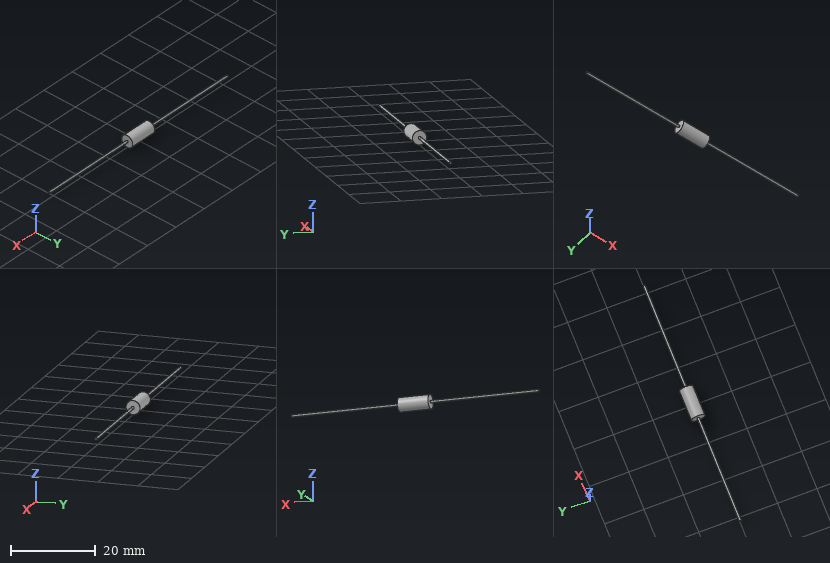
import cadquery as cq

overall_length = 63.0
body_length = 7.9
body_diameter = 3.5
lead_diameter = 0.6


def centered_rod(length, diameter):
    """Cylinder along X, centred on the origin."""
    return cq.Workplane("YZ", origin=(-length / 2, 0, 0)).circle(diameter / 2).extrude(length)


body = centered_rod(body_length, body_diameter)
leads = centered_rod(overall_length, lead_diameter)

result = body.union(leads)